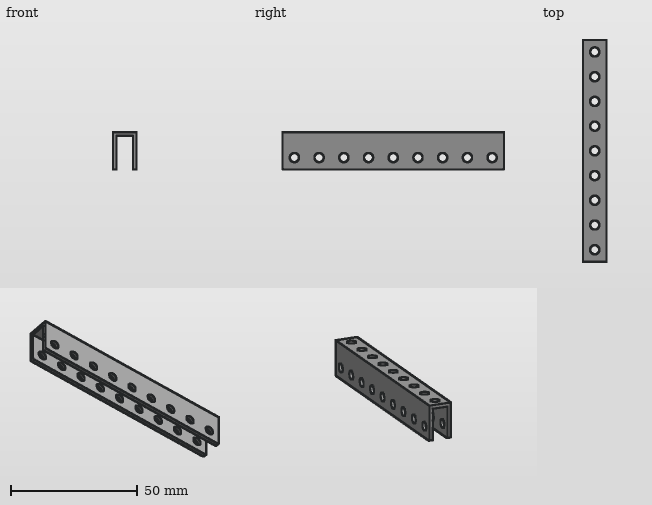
import cadquery as cq

hole_count = 9
hole_pitch = 9.779
hole_diameter = 3.556
edge_distance = 4.7625
row_length = hole_pitch * (hole_count - 1)

width = 9.398
height = 14.859
length = row_length + 2 * edge_distance

wall = 1.524

end_corner_radius = 0.635


def make_bar():
    """Solid bar standing on Z = 0, with its lower end corners rounded."""
    bar = cq.Workplane("XY").box(width, length, height, centered=(True, True, False))
    return bar.faces("<Z").edges("|X").fillet(end_corner_radius)


def make_slot():
    """Full-length slot, open below, that leaves the side walls and the top wall."""
    slot_width = width - 2 * wall
    slot_height = height - wall
    return cq.Workplane("XY").box(slot_width, length, slot_height, centered=(True, True, False))


def hole_positions():
    """Y positions of the holes, centred along the bar."""
    return [i * hole_pitch - row_length / 2 for i in range(hole_count)]


def make_side_holes():
    """Row of cylinders along X that passes through both side walls."""
    centers = [(y, edge_distance) for y in hole_positions()]
    row = cq.Workplane("YZ").pushPoints(centers)
    return row.circle(hole_diameter / 2).extrude(width / 2, both=True)


def make_top_holes():
    """Row of cylinders along Z that passes through the top wall."""
    centers = [(0, y) for y in hole_positions()]
    row = cq.Workplane("XY").pushPoints(centers)
    return row.circle(hole_diameter / 2).extrude(height)


channel = make_bar().cut(make_slot())
result = channel.cut(make_side_holes()).cut(make_top_holes())